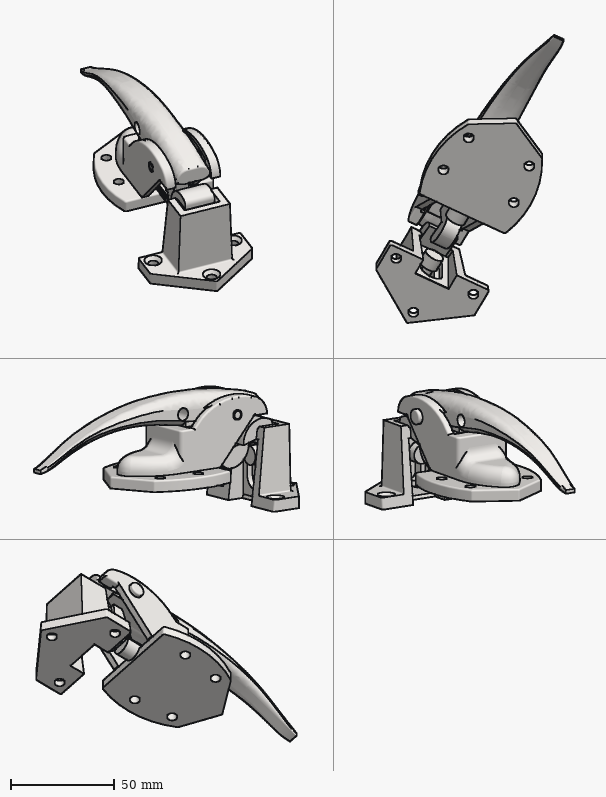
import cadquery as cq
import math


plate_bottom = 17.0
plate_top = 22.9
plate_tip_x = 44.5
plate_corner_x = 55.7
plate_corner_y = 20.2
plate_end_x = 100.5
plate_end_y = 23.3
plate_widest_x = 81.0
plate_half_width = 27.0
plate_rounding = 1.0
plate_corner_radius = 1.3
screw_hole_diameter = 4.9
plate_hole_spots = [(62.3, 16.5), (83.5, 19.2)]

housing_half_width = 14.5
cheek_inner_y = 11.2
lip_inner_y = 9.5
shoulder_x = 76.5
shoulder_top = 43.9
shoulder_corner_radius = 2.0
cavity_x = 84.0
cheek_foot_x = 84.9
cheek_bend = (89.6, 48.9)
cheek_crown = (104.6, 56.2)
cheek_rear = (123.5, 54.7)
cheek_rear_bulge = (127.6, 51.5)
cheek_end_x = 129.7
cheek_underside = 45.8
cheek_underside_x = 120.9
cheek_rounding = 1.0
lip_start = (91.5, 51.1)
lip_middle = (105.7, 54.6)
lip_end = (122.3, 52.4)

dome_top = 31.7
dome_nose_x = 50.5
dome_flank_x = 75.7
dome_flank_radius = 33.1
dome_rounding = 7.0
cove_radius = 6.3

handle_stations = [
    (0.0, 31.9, 31.4, 30.6, 30.0, 2.7),
    (11.0, 37.7, 36.9, 35.7, 34.4, 4.18),
    (23.7, 44.6, 44.0, 42.8, 40.4, 5.45),
    (39.5, 51.3, 49.5, 47.5, 45.1, 7.0),
    (56.0, 56.0, 52.7, 49.2, 46.9, 8.0),
    (71.0, 58.4, 53.6, 48.8, 45.9, 8.7),
    (85.2, 59.5, 52.4, 46.7, 44.2, 9.0),
    (101.0, 59.0, 52.0, 46.2, 44.0, 9.0),
    (116.7, 57.0, 51.3, 46.2, 44.5, 9.0),
    (129.7, 54.3, 50.5, 48.3, 46.5, 8.8),
]
handle_flat_half_width = 2.4
handle_hole_diameter = 6.2
handle_hole_x = 82.0
handle_hole_z = 50.5
handle_end_rounding = 1.0
cam_block_start_x = 83.6
cam_block_end_x = 119.9
cam_block_half_width = 8.8
cam_block_bottom = 44.0

pivot_x = 111.0
pivot_z = 47.5
pin_diameter = 4.9
pin_head_diameter = 7.5
pin_head_height = 2.4
pin_head_rounding = 0.8
pin_end_chamfer = 0.5

latch_half_width = 4.0
latch_top = 43.7
rod_radius = 5.2
rod_shoulder_z = 24.1
rod_rib_half_width = 4.3
rod_top = 25.7
rod_start_x = 92.6
rod_end_x = 107.8

strike_front_x = 123.5
strike_tip_x = 157.8
strike_half_width = plate_half_width
strike_corner_x = 139.0
foot_thickness = 5.8
foot_corner_radius = 1.0
tower_top = 38.8
tower_front_x = 128.5
tower_back_x = 143.7
tower_top_half_width = 13.1
tower_base_half_width = 14.2
tower_base_fillet = 0.8
strike_side_hole = (129.0, 21.1)
strike_tip_hole_x = 151.3
countersink_diameter = 8.5
countersink_angle = 90
recess_half_width = 9.2
recess_bevel_height = 1.9
recess_bottom_x = 132.0
recess_wall_x = 132.7
pocket_front_z = 30.3
pocket_rise = 0.27
pocket_back_x = 138.2
rim_bevel = 1.5
slot_low_center_z = 11.7
slot_length = 11.2
slot_width = 6.5
slot_seat_width = 12.0
slot_seat_floor_x = 135.8
slot_floor_x = 140.4

screw_head_diameter = 9.5
screw_head_front_x = 129.4
screw_z = slot_low_center_z + slot_length

strike_hook_half_width = 7.7
strike_hook_tip_x = 119.9
strike_hook_end_x = 137.4
strike_hook_end_z = 39.0


def hook_seat_z(x):
    """Height of the slanted underside of the strike hook and of the pocket floor below it."""
    return pocket_front_z + pocket_rise * (x - strike_hook_tip_x)


def side_plate(outline, half_width):
    """Extrude an outline in the XZ plane to both sides of the middle plane."""
    return outline.close().extrude(half_width, both=True)


def mirrored_spots(spots):
    return [(x, side * y) for x, y in spots for side in (-1, 1)]


def make_plate():
    outline = (
        cq.Workplane("XY", origin=(0, 0, plate_bottom))
        .moveTo(plate_tip_x, 0)
        .lineTo(plate_corner_x, plate_corner_y)
        .threePointArc((plate_widest_x, plate_half_width), (plate_end_x, plate_end_y))
        .lineTo(plate_end_x, -plate_end_y)
        .threePointArc((plate_widest_x, -plate_half_width), (plate_corner_x, -plate_corner_y))
        .close()
    )
    plate = outline.extrude(plate_top - plate_bottom)
    plate = plate.edges("|Z").fillet(plate_corner_radius)
    plate = plate.faces(">Z").edges("not(>X)").fillet(plate_rounding)
    return plate.cut(
        cq.Workplane("XY")
        .pushPoints(mirrored_spots(plate_hole_spots))
        .circle(screw_hole_diameter / 2)
        .extrude(plate_top)
    )


def make_cheek_block():
    outline = (
        cq.Workplane("XZ")
        .moveTo(shoulder_x, plate_top)
        .lineTo(shoulder_x, shoulder_top)
        .lineTo(cheek_foot_x, shoulder_top)
        .lineTo(*cheek_bend)
        .threePointArc(cheek_crown, cheek_rear)
        .threePointArc(cheek_rear_bulge, (cheek_end_x, cheek_underside))
        .lineTo(cheek_underside_x, cheek_underside)
        .lineTo(plate_end_x, plate_top)
    )
    block = side_plate(outline, housing_half_width)
    block = block.edges("|Z").edges("<X").fillet(shoulder_corner_radius)
    upper_rim = cq.selectors.BoxSelector(
        (shoulder_x - 1.5, -housing_half_width - 1.5, shoulder_top - 1.5),
        (cheek_end_x + 1.5, housing_half_width + 1.5, tower_top * 2),
        boundingbox=True,
    )
    return block.edges(upper_rim).edges("not(|Y)").fillet(cheek_rounding)


def make_cavity():
    """The space between the cheeks, wider below the lips along their top edges."""
    gap = (
        cq.Workplane("XY", origin=(0, 0, plate_top))
        .moveTo(cavity_x, -lip_inner_y)
        .lineTo(cheek_end_x + 1.5, -lip_inner_y)
        .lineTo(cheek_end_x + 1.5, lip_inner_y)
        .lineTo(cavity_x, lip_inner_y)
        .close()
        .extrude(tower_top)
    )
    below_lip = (
        cq.Workplane("XZ")
        .moveTo(cavity_x, plate_top)
        .lineTo(cavity_x, lip_start[1])
        .lineTo(*lip_start)
        .threePointArc(lip_middle, lip_end)
        .lineTo(lip_end[0], plate_top)
    )
    return gap.union(side_plate(below_lip, cheek_inner_y))


def make_dome():
    dome_end_x = shoulder_x + dome_rounding + 1.5
    neck_top = dome_top + cove_radius + 1.5
    flank_center_y = housing_half_width - dome_flank_radius
    length = dome_flank_x - dome_nose_x
    nose_radius = (dome_flank_radius**2 - length**2 - flank_center_y**2) / (2 * (dome_flank_radius - length))
    nose_center_x = dome_nose_x + nose_radius
    slope = math.atan2(-flank_center_y, nose_center_x - dome_flank_x)
    joint_x = nose_center_x + nose_radius * math.cos(slope)
    joint_y = nose_radius * math.sin(slope)
    middle_slope = (slope + math.pi / 2) / 2
    flank_x = dome_flank_x + dome_flank_radius * math.cos(middle_slope)
    flank_y = flank_center_y + dome_flank_radius * math.sin(middle_slope)
    dome = (
        cq.Workplane("XY", origin=(0, 0, plate_top))
        .moveTo(dome_end_x, -housing_half_width)
        .lineTo(dome_flank_x, -housing_half_width)
        .threePointArc((flank_x, -flank_y), (joint_x, -joint_y))
        .threePointArc((dome_nose_x, 0), (joint_x, joint_y))
        .threePointArc((flank_x, flank_y), (dome_flank_x, housing_half_width))
        .lineTo(dome_end_x, housing_half_width)
        .close()
        .extrude(neck_top - plate_top)
    )
    half_turn = cove_radius * math.sqrt(0.5)
    above = (
        cq.Workplane("XZ")
        .moveTo(dome_nose_x - 1.5, dome_top)
        .lineTo(shoulder_x - cove_radius, dome_top)
        .threePointArc(
            (shoulder_x - cove_radius + half_turn, dome_top + cove_radius - half_turn),
            (shoulder_x, dome_top + cove_radius),
        )
        .lineTo(shoulder_x, neck_top)
        .lineTo(dome_nose_x - 1.5, neck_top)
    )
    dome = dome.cut(side_plate(above, housing_half_width + 1.5))
    upper_rim = cq.selectors.BoxSelector(
        (dome_nose_x - 1.5, -housing_half_width - 1.5, dome_top - 0.2),
        (shoulder_x + 0.2, housing_half_width + 1.5, neck_top + 0.2),
        boundingbox=True,
    )
    return dome.edges(upper_rim).edges("not(|Y)").fillet(dome_rounding)


def make_housing():
    housing = make_cheek_block().cut(make_cavity())
    housing = housing.union(make_dome()).union(make_plate())
    pivot_hole = (
        cq.Workplane("XZ")
        .center(pivot_x, pivot_z)
        .circle(pin_diameter / 2)
        .extrude(housing_half_width, both=True)
    )
    return housing.cut(pivot_hole).cut(make_rod())


def handle_section(x, top, side_top, side_bottom, bottom, half_width):
    """Closed section: flat top, rounded shoulders, flat sides and a rounded underside."""
    flat = handle_flat_half_width
    bulge = math.sqrt(0.5)
    shoulder = (flat + (half_width - flat) * bulge, side_top + (top - side_top) * bulge)
    belly = (flat + (half_width - flat) * bulge, side_bottom + (bottom - side_bottom) * bulge)
    plane = cq.Workplane("YZ", origin=(x, 0, 0))
    return (
        plane.moveTo(-flat, top)
        .lineTo(flat, top)
        .threePointArc(shoulder, (half_width, side_top))
        .lineTo(half_width, side_bottom)
        .threePointArc(belly, (flat, bottom))
        .lineTo(-flat, bottom)
        .threePointArc((-belly[0], belly[1]), (-half_width, side_bottom))
        .lineTo(-half_width, side_top)
        .threePointArc((-shoulder[0], shoulder[1]), (-flat, top))
        .close()
        .wires()
        .val()
    )


def make_handle():
    sections = [handle_section(*station) for station in handle_stations]
    handle = cq.Workplane(cq.Solid.makeLoft(sections))
    handle = handle.faces(">X").edges().fillet(handle_end_rounding)
    cam_block = cq.Workplane("XY").box(
        cam_block_end_x - cam_block_start_x,
        2 * cam_block_half_width,
        handle_hole_z - cam_block_bottom,
        centered=(False, True, False),
    ).translate((cam_block_start_x, 0, cam_block_bottom))
    handle = handle.union(cam_block)
    holes = (
        cq.Workplane("XZ")
        .moveTo(handle_hole_x, handle_hole_z)
        .circle(handle_hole_diameter / 2)
        .moveTo(pivot_x, pivot_z)
        .circle(pin_diameter / 2)
        .extrude(housing_half_width, both=True)
    )
    return handle.cut(holes)


def make_pivot_pin():
    shank = (
        cq.Workplane("XZ", origin=(pivot_x, 0, pivot_z))
        .circle(pin_diameter / 2)
        .extrude(housing_half_width, both=True)
        .faces("<Y")
        .chamfer(pin_end_chamfer)
    )
    head = (
        cq.Workplane("XZ", origin=(pivot_x, housing_half_width, pivot_z))
        .circle(pin_head_diameter / 2)
        .extrude(-pin_head_height)
        .faces(">Y")
        .edges()
        .fillet(pin_head_rounding)
    )
    return shank.union(head)


def make_latch_hook():
    outline = (
        cq.Workplane("XZ")
        .moveTo(110.5, latch_top)
        .lineTo(115.8, latch_top)
        .lineTo(114.5, 28.7)
        .lineTo(125.9, 31.5)
        .threePointArc((123.8, 23.3), (116.1, 19.0))
        .threePointArc((110.9, 20.2), (107.9, 25.5))
        .lineTo(107.1, 27.3)
        .lineTo(104.9, 27.3)
    )
    return side_plate(outline, latch_half_width)


def make_rod():
    """Half-round bar with a flat rib along its top."""
    return (
        cq.Workplane("YZ", origin=(rod_start_x, 0, 0))
        .moveTo(-rod_radius, rod_shoulder_z)
        .threePointArc((0, rod_shoulder_z - rod_radius), (rod_radius, rod_shoulder_z))
        .lineTo(rod_rib_half_width, rod_shoulder_z)
        .lineTo(rod_rib_half_width, rod_top)
        .lineTo(-rod_rib_half_width, rod_top)
        .lineTo(-rod_rib_half_width, rod_shoulder_z)
        .close()
        .extrude(rod_end_x - rod_start_x)
    )


def make_strike_hook():
    outline = (
        cq.Workplane("XZ")
        .moveTo(strike_hook_tip_x, pocket_front_z)
        .threePointArc((126.0, 41.0), (135.7, 41.5))
        .threePointArc((137.0, 40.5), (strike_hook_end_x, strike_hook_end_z))
        .lineTo(strike_hook_end_x, hook_seat_z(strike_hook_end_x))
    )
    return side_plate(outline, strike_hook_half_width)


def make_hook_screw():
    head = (
        cq.Workplane("YZ", origin=(screw_head_front_x, 0, screw_z))
        .circle(screw_head_diameter / 2)
        .extrude(slot_seat_floor_x - screw_head_front_x)
    )
    shank = (
        cq.Workplane("YZ", origin=(slot_seat_floor_x, 0, screw_z))
        .circle(slot_width / 2)
        .extrude(slot_floor_x - slot_seat_floor_x)
    )
    return head.union(shank)


def strike_slot(width, floor_x):
    return (
        cq.Workplane("YZ", origin=(recess_bottom_x, 0, slot_low_center_z + slot_length / 2))
        .slot2D(slot_length + width, width, 90)
        .extrude(floor_x - recess_bottom_x)
    )


def make_front_slope():
    """The material in front of the strike's leaning front face."""
    outline = (
        cq.Workplane("XZ")
        .moveTo(strike_front_x, 0)
        .lineTo(tower_front_x, tower_top)
        .lineTo(strike_front_x - 1.5, tower_top)
        .lineTo(strike_front_x - 1.5, 0)
    )
    return side_plate(outline, strike_half_width)


def make_foot():
    half_angle = math.atan2(strike_half_width, strike_tip_x - strike_corner_x)
    apex_x = strike_tip_x + foot_corner_radius * (1 / math.sin(half_angle) - 1)
    foot = (
        cq.Workplane("XY")
        .moveTo(strike_front_x, -strike_half_width)
        .lineTo(strike_corner_x, -strike_half_width)
        .lineTo(apex_x, 0)
        .lineTo(strike_corner_x, strike_half_width)
        .lineTo(strike_front_x, strike_half_width)
        .close()
        .extrude(foot_thickness)
    )
    rear_corners = cq.selectors.BoxSelector(
        (strike_corner_x - 1.5, -strike_half_width - 1.5, -1.5),
        (strike_tip_x + 1.5, strike_half_width + 1.5, foot_thickness + 1.5),
    )
    foot = foot.edges("|Z").edges(rear_corners).fillet(foot_corner_radius)
    foot = foot.cut(make_front_slope())
    return foot.faces("<X").edges("not(|Y)").fillet(foot_corner_radius)


def make_tower():
    tower = (
        cq.Workplane("YZ", origin=(strike_front_x, 0, 0))
        .moveTo(-tower_base_half_width, foot_thickness)
        .lineTo(-tower_top_half_width, tower_top)
        .lineTo(tower_top_half_width, tower_top)
        .lineTo(tower_base_half_width, foot_thickness)
        .close()
        .extrude(tower_back_x - strike_front_x)
    )
    return tower.cut(make_front_slope())


def make_recess():
    """The open channel in the front of the strike, below the hook."""
    outline = (
        cq.Workplane("XZ")
        .moveTo(strike_front_x, 0)
        .lineTo(recess_bottom_x, 0)
        .lineTo(recess_wall_x, recess_bevel_height)
        .lineTo(recess_wall_x, hook_seat_z(recess_wall_x))
        .lineTo(strike_front_x, hook_seat_z(strike_front_x))
    )
    return side_plate(outline, recess_half_width)


def make_hook_pocket():
    """The pocket in the top of the strike that holds the hook, with a beveled rim."""
    outline = (
        cq.Workplane("XZ")
        .moveTo(strike_front_x, hook_seat_z(strike_front_x))
        .lineTo(pocket_back_x, hook_seat_z(pocket_back_x))
        .lineTo(pocket_back_x, tower_top)
        .lineTo(strike_front_x, tower_top)
    )
    pocket = side_plate(outline, strike_hook_half_width)
    rim_back_x = pocket_back_x + rim_bevel
    rim_half_width = strike_hook_half_width + rim_bevel
    rim_center_x = (strike_front_x + rim_back_x) / 2
    rim = (
        cq.Workplane("XY", origin=(rim_center_x, 0, tower_top))
        .rect(rim_back_x - strike_front_x, 2 * rim_half_width)
        .extrude(-rim_bevel, taper=45)
    )
    return pocket.union(rim)


def make_strike():
    strike = make_foot().union(make_tower())
    strike = strike.edges(
        cq.selectors.BoxSelector(
            (strike_front_x - 1.5, -tower_base_half_width - 0.2, foot_thickness - 0.2),
            (tower_back_x + 0.2, tower_base_half_width + 0.2, foot_thickness + 0.2),
            boundingbox=True,
        )
    ).fillet(tower_base_fillet)
    strike = strike.cut(make_recess()).cut(make_hook_pocket())
    strike = strike.cut(strike_slot(slot_seat_width, slot_seat_floor_x))
    strike = strike.cut(strike_slot(slot_width, slot_floor_x))
    screw_spots = mirrored_spots([strike_side_hole]) + [(strike_tip_hole_x, 0)]
    return (
        strike.copyWorkplane(cq.Workplane("XY", origin=(0, 0, foot_thickness)))
        .pushPoints(screw_spots)
        .cskHole(screw_hole_diameter, countersink_diameter, countersink_angle, foot_thickness)
    )


housing = make_housing()
handle = make_handle()
pivot_pin = make_pivot_pin()
latch_hook = make_latch_hook()
rod = make_rod()
strike_hook = make_strike_hook()
hook_screw = make_hook_screw()
strike = make_strike()

bodies = [housing, handle, pivot_pin, latch_hook, rod, strike_hook, hook_screw, strike]
result = cq.Compound.makeCompound([solid for body in bodies for solid in body.solids().vals()])